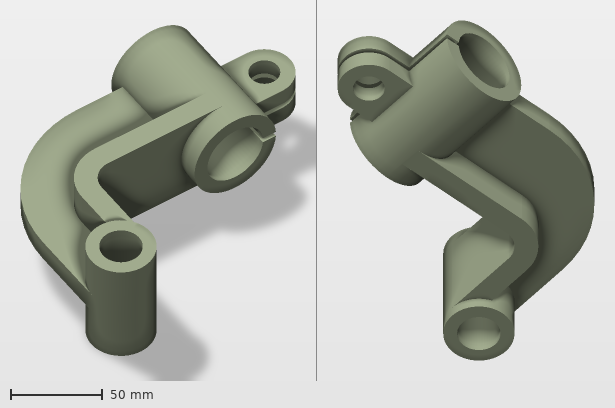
import cadquery as cq

boss_radius = 19.4
boss_bore_radius = 11.8
boss_height = 66.6

clamp_radius = 26.8
clamp_bore_radius = 18.3
clamp_length = 80.5
clamp_left = boss_radius - 147.1
clamp_axis_y = 107.3

ear_radius = 17.0
ear_hole_radius = 8.7
ear_x = -79.4
ear_y = 184.6 - boss_radius - ear_radius
ears_height = 24.0
slit_width = 3.1

web_thickness = 13.1
web_left = -117.8
web_bend_radius = 70.9
rib_thickness = 13.0
rib_height = 2 * clamp_radius
rib_inner_x = -60.0
rib_inner_radius = 13.0


def cylinder_z(x, y, radius, height):
    """Vertical cylinder centred on Z = 0."""
    return cq.Workplane("XY").center(x, y).circle(radius).extrude(height / 2, both=True)


def clamp_cylinder(radius):
    """Cylinder along the clamp axis, over the full clamp length."""
    return (
        cq.Workplane("YZ", origin=(clamp_left, 0, 0))
        .center(clamp_axis_y, 0)
        .circle(radius)
        .extrude(clamp_length)
    )


def arm_layer(outer_x, outer_y, outer_radius, height):
    """L-shaped layer between the arm's inner edge and an outer edge, both with a rounded bend."""
    diagonal = 1 - 0.5**0.5
    outer_cut = outer_radius * diagonal
    inner_cut = rib_inner_radius * diagonal
    return (
        cq.Workplane("XY")
        .moveTo(outer_x, clamp_axis_y)
        .lineTo(outer_x, outer_y + outer_radius)
        .threePointArc(
            (outer_x + outer_cut, outer_y + outer_cut),
            (outer_x + outer_radius, outer_y),
        )
        .lineTo(0, outer_y)
        .lineTo(0, boss_radius)
        .lineTo(rib_inner_x + rib_inner_radius, boss_radius)
        .threePointArc(
            (rib_inner_x + inner_cut, boss_radius + inner_cut),
            (rib_inner_x, boss_radius + rib_inner_radius),
        )
        .lineTo(rib_inner_x, clamp_axis_y)
        .close()
        .extrude(height / 2, both=True)
    )


web = arm_layer(web_left, -boss_radius, web_bend_radius, web_thickness)
rib = arm_layer(
    rib_inner_x - rib_thickness,
    boss_radius - rib_thickness,
    rib_inner_radius + rib_thickness,
    rib_height,
)

ear_length = ear_y - clamp_axis_y
ears = cylinder_z(ear_x, ear_y, ear_radius, ears_height).union(
    cq.Workplane("XY")
    .box(2 * ear_radius, ear_length, ears_height)
    .translate((ear_x, clamp_axis_y + ear_length / 2, 0))
)

slit_length = ear_length + ear_radius
slit = (
    cq.Workplane("XY")
    .box(clamp_length, slit_length, slit_width)
    .translate((clamp_left + clamp_length / 2, clamp_axis_y + slit_length / 2, 0))
)

result = (
    clamp_cylinder(clamp_radius)
    .union(ears)
    .union(web)
    .union(rib)
    .union(cylinder_z(0, 0, boss_radius, boss_height))
    .cut(cylinder_z(0, 0, boss_bore_radius, boss_height))
    .cut(clamp_cylinder(clamp_bore_radius))
    .cut(cylinder_z(ear_x, ear_y, ear_hole_radius, ears_height))
    .cut(slit)
)